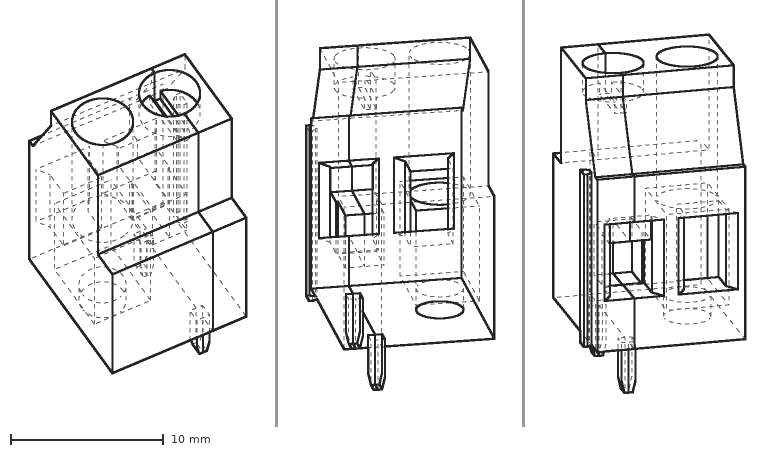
import cadquery as cq


OVERALL_WIDTH = 10.6
OVERALL_HEIGHT = 21.5
POLE_PITCH = 5.0
HOUSING_LENGTH = 11.2
HOUSING_WIDTH = 2 * POLE_PITCH
HOUSING_HEIGHT = 18.0
REAR_STEP_HEIGHT = 10.0
ENTRY_LEDGE_HEIGHT = 11.95
ENTRY_LEDGE_LENGTH = 0.5
SLOPE_TOP_HEIGHT = 16.5
TOP_FRONT_X = 2.92
TOP_REAR_X = 9.25
SIDE_MAX_Y = POLE_PITCH / 2

RIB_X = 1.7
RIB_DEPTH = OVERALL_WIDTH - HOUSING_WIDTH
RIB_LIP = 0.24
RIB_OUTER_WIDTH = 0.99
RIB_ROOT_WIDTH = 0.55

BORE_X = 5.38
BORE_DIAMETER = 4.0
THROUGH_DIAMETER = 3.1

ENTRY_WIDTH = 4.0
CHANNEL_WIDTH = 2.84
ENTRY_FLOOR = 3.5
ENTRY_CEILING = 8.8
FUNNEL_LENGTH = 0.85

SCREW_RECESS = 2.0
SCREW_TOP = HOUSING_HEIGHT - SCREW_RECESS
SLOT_WIDTH = 0.8
SLOT_DEPTH = 0.8
CLAMP_FRONT_X = 1.08
CLAMP_BOTTOM = 7.1
WIRE_SPACE_END_X = 2.84
WIRE_SLOT_WIDTH = 2.55
WIRE_SLOT_END_X = BORE_X
WIRE_SLOT_DROP = 0.09
WIRE_SLOT_FLOOR = ENTRY_FLOOR - WIRE_SLOT_DROP

CHAMBER_START_X = 2.69
CHAMBER_LENGTH = 2 * (BORE_X - CHAMBER_START_X)
CHAMBER_WIDTH = 4.21
CHAMBER_CEILING = 8.15
CHAMBER_FLOOR = 1.5

PIN_SIZE = 0.95
PIN_X = 1.9
PIN_SPACING = 7.55
PIN_LENGTH = OVERALL_HEIGHT - HOUSING_HEIGHT
PIN_TIP_LENGTH = 0.82
PIN_TIP_WIDTH = 0.55


def box(x_range, width, z_range):
    """Box centred on the pole axis in Y."""
    length = x_range[1] - x_range[0]
    height = z_range[1] - z_range[0]
    corner = (x_range[0], -width / 2, z_range[0])
    return cq.Workplane("XY").box(length, width, height, centered=False).translate(corner)


def cylinder(diameter, bottom, top):
    """Vertical cylinder on the bore axis of the wired pole."""
    plane = cq.Workplane("XY", origin=(BORE_X, 0, bottom))
    return plane.circle(diameter / 2).extrude(top - bottom)


def make_shell():
    """Stepped and sloped profile across the full width."""
    profile = [
        (0, 0),
        (HOUSING_LENGTH, 0),
        (HOUSING_LENGTH, REAR_STEP_HEIGHT),
        (TOP_REAR_X, REAR_STEP_HEIGHT),
        (TOP_REAR_X, HOUSING_HEIGHT),
        (TOP_FRONT_X, HOUSING_HEIGHT),
        (TOP_FRONT_X, SLOPE_TOP_HEIGHT),
        (ENTRY_LEDGE_LENGTH, ENTRY_LEDGE_HEIGHT),
        (0, ENTRY_LEDGE_HEIGHT),
    ]
    plane = cq.Workplane("XZ", origin=(0, SIDE_MAX_Y, 0))
    return plane.polyline(profile).close().extrude(HOUSING_WIDTH)


def make_rib():
    """Dovetail rib as tall as the entry ledge."""
    lip_y = SIDE_MAX_Y + RIB_DEPTH - RIB_LIP
    outer_y = SIDE_MAX_Y + RIB_DEPTH
    half_root = RIB_ROOT_WIDTH / 2
    half_outer = RIB_OUTER_WIDTH / 2
    outline = [
        (RIB_X - half_root, SIDE_MAX_Y),
        (RIB_X + half_root, SIDE_MAX_Y),
        (RIB_X + half_outer, lip_y),
        (RIB_X + half_outer, outer_y),
        (RIB_X - half_outer, outer_y),
        (RIB_X - half_outer, lip_y),
    ]
    return cq.Workplane("XY").polyline(outline).close().extrude(ENTRY_LEDGE_HEIGHT)


def make_funnel():
    """Mouth of a wire entry, narrowing in Y to the channel width."""
    outline = [
        (0, -ENTRY_WIDTH / 2),
        (FUNNEL_LENGTH, -CHANNEL_WIDTH / 2),
        (FUNNEL_LENGTH, CHANNEL_WIDTH / 2),
        (0, ENTRY_WIDTH / 2),
    ]
    plane = cq.Workplane("XY", origin=(0, 0, ENTRY_FLOOR))
    return plane.polyline(outline).close().extrude(ENTRY_CEILING - ENTRY_FLOOR)


def make_wired_pole_cavity():
    """Two separate voids: the entry below the clamp, and the bore down to the slotted screw head."""
    channel = box((FUNNEL_LENGTH, CLAMP_FRONT_X), CHANNEL_WIDTH, (ENTRY_FLOOR, ENTRY_CEILING))
    wire_space = box((CLAMP_FRONT_X, WIRE_SPACE_END_X), CHANNEL_WIDTH, (ENTRY_FLOOR, CLAMP_BOTTOM))
    wire_slot = box((WIRE_SPACE_END_X, WIRE_SLOT_END_X), WIRE_SLOT_WIDTH, (WIRE_SLOT_FLOOR, CLAMP_BOTTOM))
    entry = make_funnel().union(channel).union(wire_space).union(wire_slot)
    bore = cylinder(BORE_DIAMETER, SCREW_TOP, HOUSING_HEIGHT)
    slot_bottom = SCREW_TOP - SLOT_DEPTH
    half_length = BORE_DIAMETER / 2
    slot = box((BORE_X - half_length, BORE_X + half_length), SLOT_WIDTH, (slot_bottom, SCREW_TOP))
    slot = slot.intersect(cylinder(BORE_DIAMETER, slot_bottom, SCREW_TOP))
    return entry, bore.union(slot)


def make_empty_pole_cavity():
    """Wire entry opening into the terminal chamber, with a stepped bore right through."""
    channel = box((FUNNEL_LENGTH, CHAMBER_START_X), CHANNEL_WIDTH, (ENTRY_FLOOR, ENTRY_CEILING))
    chamber_end_x = CHAMBER_START_X + CHAMBER_LENGTH
    chamber = box((CHAMBER_START_X, chamber_end_x), CHAMBER_WIDTH, (CHAMBER_FLOOR, CHAMBER_CEILING))
    bore = cylinder(BORE_DIAMETER, CHAMBER_CEILING, HOUSING_HEIGHT)
    through_hole = cylinder(THROUGH_DIAMETER, 0, CHAMBER_FLOOR)
    cavity = make_funnel().union(channel).union(chamber).union(bore).union(through_hole)
    return cavity.translate((0, -POLE_PITCH, 0))


def make_pin(x):
    """Square pin below the housing, its tip tapered in Y."""
    shoulder_z = PIN_TIP_LENGTH - PIN_LENGTH
    half_tip = PIN_TIP_WIDTH / 2
    half_pin = PIN_SIZE / 2
    outline = [
        (-half_tip, -PIN_LENGTH),
        (half_tip, -PIN_LENGTH),
        (half_pin, shoulder_z),
        (half_pin, 0),
        (-half_pin, 0),
        (-half_pin, shoulder_z),
    ]
    plane = cq.Workplane("YZ", origin=(x - half_pin, 0, 0))
    return plane.polyline(outline).close().extrude(PIN_SIZE)


def make_block():
    """Whole two-pole block, before it is parted along the axis of the wired pole."""
    block = make_shell().union(make_rib())
    for cavity in (*make_wired_pole_cavity(), make_empty_pole_cavity()):
        block = block.cut(cavity)
    for x in (PIN_X, PIN_X + PIN_SPACING):
        block = block.union(make_pin(x))
    return block


def make_half_space(side):
    """Box well clear of the block on one side (+1 or -1) of the parting plane at Y = 0."""
    size = 4 * OVERALL_HEIGHT
    return cq.Workplane("XY").box(size, size, size).translate((0, side * size / 2, 0))


def make_end_section(block):
    """Body on the +Y side of the parting plane: half of the wired pole and the rib."""
    return block.intersect(make_half_space(1), clean=False)


def make_main_section(block):
    """Body on the -Y side of the parting plane: the other half and the empty pole."""
    return block.intersect(make_half_space(-1), clean=False)


block = make_block()
end_section = make_end_section(block)
main_section = make_main_section(block)

result = cq.Compound.makeCompound([end_section.val(), main_section.val()])